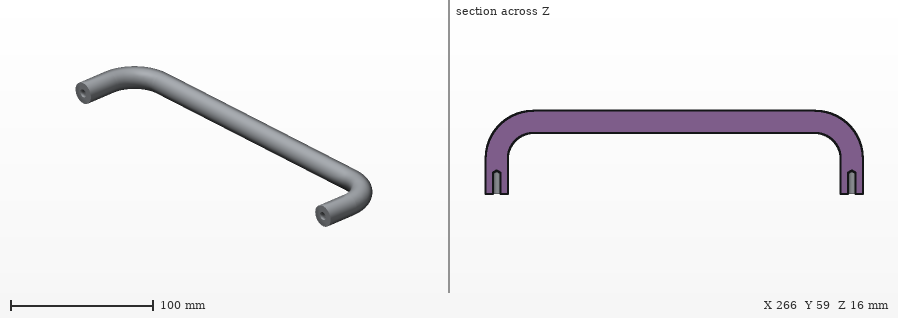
import cadquery as cq
import math

bar_diameter = 16.0
hole_spacing = 250.0
height = 59.0
bend_radius = 26.0
mouth_diameter = 6.0
hole_diameter = 4.917
hole_depth = 15.0
point_angle = 118.0

hole_radius = hole_diameter / 2
mouth_chamfer = (mouth_diameter - hole_diameter) / 2
point_length = hole_radius / math.tan(math.radians(point_angle / 2))
bar_radius = bar_diameter / 2
foot_x = hole_spacing / 2
grip_y = height - bar_radius
bend_start_y = grip_y - bend_radius
grip_end_x = foot_x - bend_radius


def make_bar():
    """Sweep the round section up one leg, along the grip and down the other leg."""
    path = (
        cq.Workplane("XY")
        .moveTo(-foot_x, 0)
        .lineTo(-foot_x, bend_start_y)
        .radiusArc((-grip_end_x, grip_y), bend_radius)
        .lineTo(grip_end_x, grip_y)
        .radiusArc((foot_x, bend_start_y), bend_radius)
        .lineTo(foot_x, 0)
    )
    section = cq.Workplane("XZ", origin=(-foot_x, 0, 0)).circle(bar_radius)
    return section.sweep(path)


def make_hole(x):
    """Blind hole along +Y from the foot end at x, with a chamfered mouth and a conical bottom."""
    half_profile = (
        cq.Workplane("XY", origin=(x, 0, 0))
        .lineTo(mouth_diameter / 2, 0)
        .lineTo(hole_radius, mouth_chamfer)
        .lineTo(hole_radius, hole_depth)
        .lineTo(0, hole_depth + point_length)
        .close()
    )
    return half_profile.revolve(360, (0, 0, 0), (0, 1, 0))


result = make_bar()
for side in (-1, 1):
    result = result.cut(make_hole(side * foot_x))